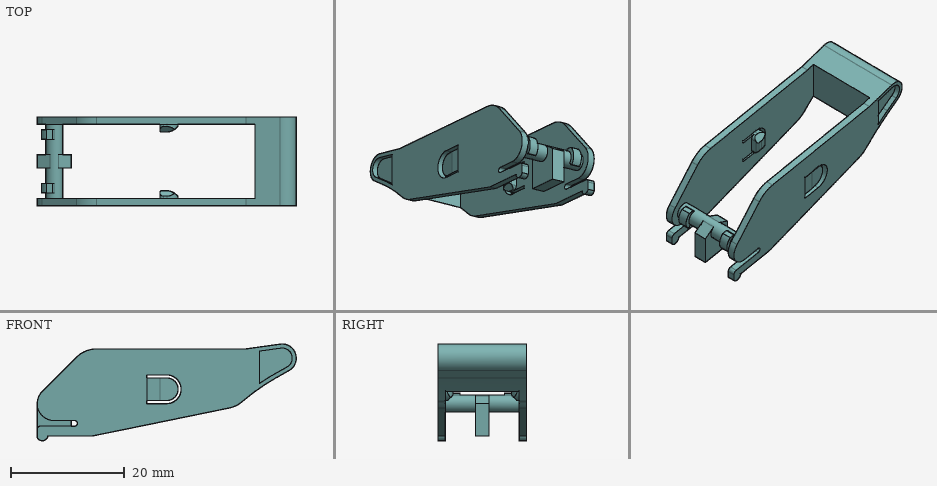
import cadquery as cq
import math

length = 45.5
width = 15.6
height = 17.0

wall = 1.3
top_z = 16.15
bottom_z = 0.8
inner_y = width / 2 - wall
nose_r = 3.0
pivot_x = nose_r
pivot_z = 6.55
shoulder_r = 5.0
belly_start_x = 9.65
belly_corner = (35.0, 6.0)
belly_r = 5.0
tip_r = 2.5
tip_x = length - tip_r
tip_z = height - tip_r
rise_start_x = 36.65
hollow_r = 36.4
hollow_end_x = 41.85
hollow_end_angle = math.radians(29.5)
hollow_start_angle = math.radians(40.5)

slot_width = 0.95
slot_end_x = 7.05
finger_top_z = pivot_z - nose_r - slot_width
finger_round = 0.65
hook_r = 1.0
hook_x = 0.9

bar_x = 38.2
recess_x = 39.05
recess_rim = 0.75
recess_depth = 1.0

window_x = 19.25
window_z = 9.05
window_end_x = 25.25
window_r = 2.5
tongue_end_x = 24.75
tongue_r = 2.0
tongue_recess = 0.3
tongue_tip_recess = 0.65
bump_x = 21.5
bump_flat_end_x = 22.6
bump_height = 1.35
bump_tip_height = 0.27
bump_round = 0.35
bump_end_round = 0.7
bump_chamfer = 1.0

pin_r = 1.5
collar_r = 2.28
collar_y = 3.85
collar_width = 1.7
collar_flat = 1.8
block_length = 2 * pivot_x
block_width = 2.4
block_bottom_z = 0.8


def xz_extrude(outline, y_from, y_to):
    """Extrude an outline drawn in the XZ plane between two Y positions."""
    return outline.extrude(y_from - y_to).translate((0, y_from, 0))


def sketch():
    return cq.Workplane("XZ")


def on_circle(x, z, radius, angle):
    return (x + radius * math.cos(angle), z + radius * math.sin(angle))


def right_of(start_x):
    """Space on the +X side of a given X."""
    space = cq.Workplane("XY").box(length, width, height, centered=(False, True, False))
    return space.translate((start_x, 0, 0))


def body_outline():
    """Outline of the plate, still sharp at shoulder and belly, and its shoulder corner."""
    to_tip_x = tip_x - rise_start_x
    to_tip_z = tip_z - top_z
    rise = math.atan2(to_tip_z, to_tip_x) + math.asin(tip_r / math.hypot(to_tip_x, to_tip_z))
    tip_top = on_circle(tip_x, tip_z, tip_r, rise + math.pi / 2)
    tip_bottom = on_circle(tip_x, tip_z, tip_r, hollow_end_angle - math.pi / 2)

    hollow_end_z = tip_bottom[1] - (tip_bottom[0] - hollow_end_x) * math.tan(hollow_end_angle)
    center_x = hollow_end_x + hollow_r * math.sin(hollow_end_angle)
    center_z = hollow_end_z - hollow_r * math.cos(hollow_end_angle)
    middle = (hollow_end_angle + hollow_start_angle) / 2
    hollow_middle = on_circle(center_x, center_z, hollow_r, middle + math.pi / 2)
    hollow_start = on_circle(center_x, center_z, hollow_r, hollow_start_angle + math.pi / 2)

    nose_top = on_circle(pivot_x, pivot_z, nose_r, math.radians(135))
    shoulder_x = nose_top[0] + top_z - nose_top[1]
    outline = (
        sketch()
        .moveTo(pivot_x, pivot_z - nose_r)
        .threePointArc((0, pivot_z), nose_top)
        .lineTo(shoulder_x, top_z)
        .lineTo(rise_start_x, top_z)
        .lineTo(*tip_top)
        .threePointArc((length, tip_z), tip_bottom)
        .lineTo(hollow_end_x, hollow_end_z)
        .threePointArc(hollow_middle, hollow_start)
        .lineTo(*belly_corner)
        .lineTo(belly_start_x, bottom_z)
        .lineTo(pivot_x, bottom_z)
        .close()
    )
    return outline, (shoulder_x, top_z)


def body(y_from, y_to):
    """Body profile with rounded shoulder and belly."""
    outline, shoulder = body_outline()
    solid = xz_extrude(outline, y_from, y_to)
    for (x, z), radius in ((shoulder, shoulder_r), (belly_corner, belly_r)):
        nearest = cq.selectors.NearestToPointSelector((x, (y_from + y_to) / 2, z))
        solid = solid.edges("|Y").edges(nearest).fillet(radius)
    return solid


def finger_slot(y_from, y_to):
    """Slot between nose and finger, open at the left and round at its right end."""
    slot_r = slot_width / 2
    outline = (
        sketch()
        .moveTo(0, finger_top_z)
        .lineTo(slot_end_x - slot_r, finger_top_z)
        .threePointArc(
            (slot_end_x, finger_top_z + slot_r), (slot_end_x - slot_r, finger_top_z + slot_width)
        )
        .lineTo(0, finger_top_z + slot_width)
        .close()
    )
    return xz_extrude(outline, y_from, y_to)


def finger_end(y_from, y_to):
    """Free end of the finger with a round hook underneath."""
    outline = (
        sketch()
        .moveTo(0, hook_r)
        .lineTo(0, finger_top_z)
        .lineTo(pivot_x, finger_top_z)
        .lineTo(pivot_x, bottom_z)
        .lineTo(hook_x, bottom_z)
        .lineTo(hook_x, hook_r)
        .close()
    )
    strip = xz_extrude(outline, y_from, y_to)
    strip = strip.edges("|Y and <X and >Z").fillet(finger_round)
    hook = xz_extrude(sketch().center(hook_x, hook_r).circle(hook_r), y_from, y_to)
    return strip.union(hook.intersect(right_of(0)))


def d_shape(start_x, end_x, radius, y_from, y_to):
    """Block with a square left end and a full-round right end, centred on the latch."""
    outline = (
        sketch()
        .moveTo(start_x, window_z - radius)
        .lineTo(end_x - radius, window_z - radius)
        .threePointArc((end_x, window_z), (end_x - radius, window_z + radius))
        .lineTo(start_x, window_z + radius)
        .close()
    )
    return xz_extrude(outline, y_from, y_to)


def tongue():
    """Tongue of the -Y plate: thinner than the plate, with a catch bump on its inner side."""
    outer_y = -width / 2
    plan = (
        cq.Workplane("XY")
        .moveTo(window_x, outer_y + tongue_recess)
        .lineTo(bump_x, outer_y + tongue_recess)
        .lineTo(tongue_end_x, outer_y + tongue_tip_recess)
        .lineTo(tongue_end_x, -inner_y)
        .lineTo(window_x, -inner_y)
        .close()
        .extrude(height)
    )
    strip = d_shape(window_x, tongue_end_x, tongue_r, outer_y, -inner_y).intersect(plan)

    catch_y = bump_height - inner_y
    plan = (
        cq.Workplane("XY")
        .moveTo(bump_x, -inner_y)
        .lineTo(bump_x, catch_y)
        .lineTo(bump_flat_end_x, catch_y)
        .tangentArcPoint((tongue_end_x, bump_tip_height - inner_y), relative=False)
        .lineTo(tongue_end_x, -inner_y)
        .close()
        .extrude(height)
        .edges("|Z and <X and >Y")
        .fillet(bump_round)
    )
    section = (
        cq.Workplane("YZ")
        .center(0, window_z)
        .moveTo(catch_y, bump_chamfer - tongue_r)
        .lineTo(catch_y, tongue_r - bump_chamfer)
        .lineTo(catch_y - bump_chamfer, tongue_r)
        .lineTo(-width / 2, tongue_r)
        .lineTo(-width / 2, -tongue_r)
        .lineTo(catch_y - bump_chamfer, -tongue_r)
        .close()
        .extrude(length)
    )
    bump = d_shape(bump_x, tongue_end_x, tongue_r, -inner_y, catch_y)
    bump = bump.edges("|Y and <X").fillet(bump_end_round)
    return strip.union(bump.intersect(plan).intersect(section))


def side_plate():
    """Plate on the -Y side."""
    faces = (-width / 2, -inner_y)
    plate = body(*faces).cut(finger_slot(*faces)).union(finger_end(*faces))
    plate = plate.cut(d_shape(window_x, window_end_x, window_r, *faces))
    return plate.union(tongue())


def tip_recess():
    """Recess in the -Y end of the bar, following the tip outline at a constant rim."""
    outline = body(-width / 2, 0).faces("<Y").val().outerWire().offset2D(-recess_rim)[0]
    pocket = cq.Workplane(cq.Solid.extrudeLinear(outline, [], cq.Vector(0, recess_depth, 0)))
    return pocket.intersect(right_of(recess_x))


def collar():
    """Partial ring round the left of the pin, flat on top and open at the lower right."""
    blend_r = collar_flat - pin_r
    faces = (collar_y, collar_y + collar_width)
    ring = xz_extrude(sketch().center(pivot_x, pivot_z).circle(collar_r), *faces)
    sector = (
        sketch()
        .moveTo(pivot_x, pivot_z)
        .lineTo(pivot_x, pivot_z + pin_r)
        .threePointArc(
            on_circle(pivot_x, pivot_z + collar_flat, blend_r, math.radians(225)),
            (pivot_x - blend_r, pivot_z + collar_flat),
        )
        .lineTo(pivot_x - collar_r, pivot_z + collar_flat)
        .lineTo(pivot_x - collar_r, pivot_z - pin_r)
        .lineTo(pivot_x - pin_r, pivot_z - pin_r)
        .close()
    )
    return ring.intersect(xz_extrude(sector, *faces))


def stop_block():
    """Block under the pin whose two sloping top faces run tangent to the pin."""
    slope = math.asin(pin_r / pivot_x)
    roof_x, roof_z = on_circle(pivot_x, pivot_z, pin_r, slope + math.pi / 2)
    outline = (
        sketch()
        .moveTo(0, block_bottom_z)
        .lineTo(0, pivot_z)
        .lineTo(roof_x, roof_z)
        .lineTo(block_length - roof_x, roof_z)
        .lineTo(block_length, pivot_z)
        .lineTo(block_length, block_bottom_z)
        .close()
    )
    return xz_extrude(outline, -block_width / 2, block_width / 2)


def both_sides(solid):
    return solid.union(solid.mirror("XZ"))


pin = xz_extrude(sketch().center(pivot_x, pivot_z).circle(pin_r), -inner_y, inner_y)
cross_bar = body(-width / 2, width / 2).intersect(right_of(bar_x))
result = both_sides(side_plate())
result = result.union(cross_bar)
result = result.cut(both_sides(tip_recess()))
result = result.union(pin).union(both_sides(collar())).union(stop_block())